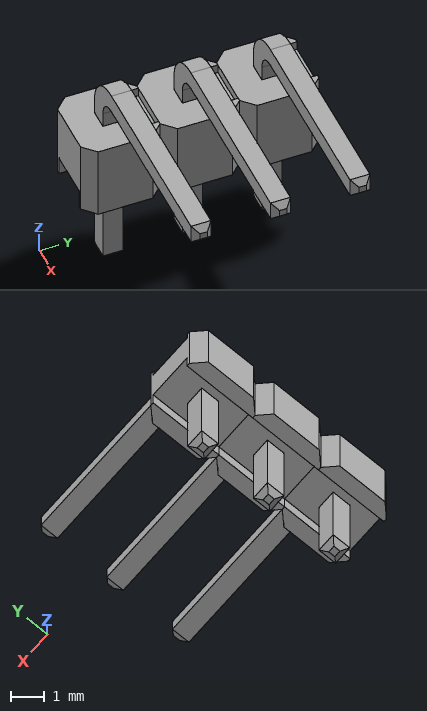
import cadquery as cq

cell_count = 3
row_length = 7.62
pitch = row_length / cell_count

housing_side = pitch
housing_height = pitch
corner_cut = 0.4

channel_width = 1.54
channel_height = 0.64

recess_width = channel_width
recess_reach = 0.4
recess_depth = 0.3

pin_side = 0.64
bend_outer_radius = 2 * pin_side
bend_inner_radius = bend_outer_radius - pin_side
tip_chamfer = 0.2
pin_rise = 1.8
pin_height = 7.3
overall_length = 8.45

pin_top = housing_height + pin_rise
pin_bottom = pin_top - pin_height
pin_end = overall_length - housing_side / 2
pin_half = pin_side / 2


def make_housing():
    """Housing block centred on the Z axis, with its channel and recess."""
    block = (
        cq.Workplane("XY")
        .rect(housing_side, housing_side)
        .extrude(housing_height)
        .edges("|Z")
        .chamfer(corner_cut)
    )
    channel = cq.Workplane("XY").box(
        channel_width, housing_side, channel_height, centered=(True, True, False)
    )
    recess = (
        cq.Workplane("XY")
        .box(recess_width, recess_reach, recess_depth, centered=(True, False, False))
        .translate((0, housing_side / 2 - recess_reach, housing_height - recess_depth))
    )
    return block.cut(channel).cut(recess)


def make_pin():
    """Bent square pin with a chamfered tip at each end."""
    bend_start = pin_top - bend_outer_radius
    bend_end = -pin_half + bend_outer_radius
    pin = (
        cq.Workplane("XZ")
        .moveTo(-pin_half, pin_bottom)
        .lineTo(-pin_half, bend_start)
        .radiusArc((bend_end, pin_top), bend_outer_radius)
        .lineTo(pin_end, pin_top)
        .lineTo(pin_end, pin_top - pin_side)
        .lineTo(bend_end, pin_top - pin_side)
        .radiusArc((pin_half, bend_start), -bend_inner_radius)
        .lineTo(pin_half, pin_bottom)
        .close()
        .extrude(pin_half, both=True)
    )
    return pin.faces("<Z or >X").chamfer(tip_chamfer)


def make_cell(y_center):
    """One header cell: housing and pin in one piece."""
    return make_housing().union(make_pin()).translate((0, y_center, 0))


first_center = -pitch * (cell_count - 1) / 2
cells = [make_cell(first_center + index * pitch) for index in range(cell_count)]

result = cq.Compound.makeCompound([cell.val() for cell in cells])